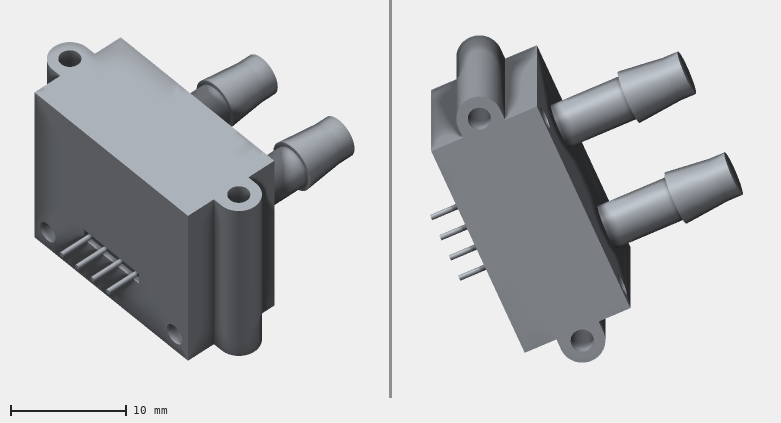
import cadquery as cq

overall_width = 26.0
body_width = 20.0
body_depth = 10.0
body_height = 18.0
front_y = -body_depth / 2
rear_y = body_depth / 2

ear_width = 4.0
ear_x = (overall_width - ear_width) / 2
hole_diameter = 2.0

mount_spacing = 16.5
mount_z = 1.95

port_spacing = body_width / 2
port_z = body_height / 2
port_radius = 4.0 / 2
port_length = 11.99
barb_radius = 4.84 / 2
barb_start = 6.5
barb_end = 10.55

pin_count = 4
pin_pitch = 2.0
pin_diameter = 0.5
pin_length = 3.1
pin_z = 5.3
recess_width = 7.2
recess_height = 1.2
recess_depth = 0.5


def cylinder_along_y(x, start_y, z, diameter, length):
    """Round bar starting at start_y and extending toward +Y."""
    start = cq.Vector(x, start_y, z)
    return cq.Workplane(obj=cq.Solid.makeCylinder(diameter / 2, length, start, cq.Vector(0, 1, 0)))


def make_housing():
    """Housing block with a drilled, rounded ear on each side."""
    ears = cq.Workplane("XY").slot2D(overall_width, ear_width).extrude(body_height)
    block = cq.Workplane("XY").rect(body_width, body_depth).extrude(body_height)
    ear_holes = (
        cq.Workplane("XY")
        .pushPoints([(-ear_x, 0), (ear_x, 0)])
        .circle(hole_diameter / 2)
        .extrude(body_height)
    )
    return block.union(ears).cut(ear_holes)


def make_port(x):
    """Hose port whose flared barb tapers toward its free end."""
    profile = [
        (0, 0),
        (port_radius, 0),
        (port_radius, barb_start),
        (barb_radius, barb_start),
        (port_radius, barb_end),
        (port_radius, port_length),
        (0, port_length),
    ]
    port = cq.Workplane("XY").polyline(profile).close().revolve(360, (0, 0), (0, 1))
    return port.translate((x, rear_y, port_z))


result = make_housing()

for side in (-1, 1):
    mount_x = side * mount_spacing / 2
    result = result.cut(cylinder_along_y(mount_x, front_y, mount_z, hole_diameter, body_depth))
    result = result.union(make_port(side * port_spacing / 2))

recess = cq.Workplane("XY").box(recess_width, recess_depth, recess_height)
result = result.cut(recess.translate((0, front_y + recess_depth / 2, pin_z)))

for index in range(pin_count):
    pin_x = (index - (pin_count - 1) / 2) * pin_pitch
    pin = cylinder_along_y(pin_x, front_y - pin_length, pin_z, pin_diameter, pin_length + recess_depth)
    result = result.union(pin)